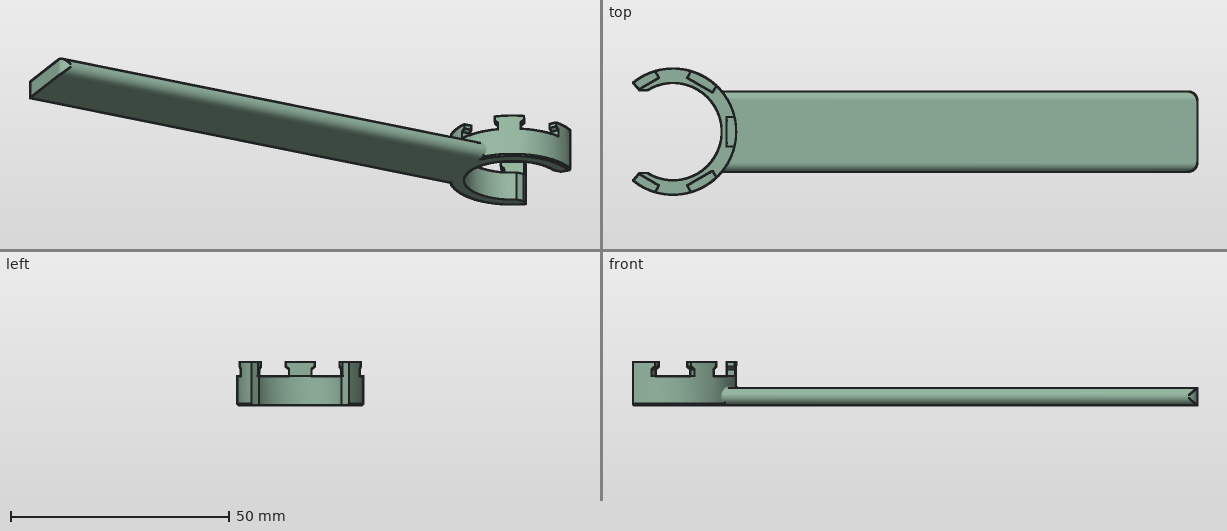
import cadquery as cq
import math

total_length = 129.3
total_height = 10.0

outer_radius = 14.5
inner_radius = 11.1
ring_height = 6.7
bottom_chamfer = 0.4
tip_reach = 9.2
mouth_half_width = 9.5
tip_bevel_length = 1.5
tip_outer_y = math.sqrt(outer_radius**2 - tip_reach**2)

tooth_angles = (-120, -60, 0, 60, 120)
tooth_inner_distance = 12.3
head_width = 6.7
stem_width = 5.2
head_lip_height = 1.0
head_taper_height = 0.6

handle_width = 18.5
handle_thickness = 4.0
handle_end_x = total_length - tip_reach
corner_radius = 2.3
joint_fillet = 0.4
overlap = 1.3


def make_ring():
    ring = cq.Workplane("XY").circle(outer_radius).extrude(total_height)
    return ring.faces("<Z").edges().chamfer(bottom_chamfer)


def make_handle():
    blank = (
        cq.Workplane("YZ", origin=(0, 0, handle_thickness / 2))
        .slot2D(handle_width, handle_thickness)
        .extrude(handle_end_x)
    )
    plan = (
        cq.Workplane("XY")
        .rect(2 * handle_end_x, handle_width)
        .extrude(handle_thickness)
        .edges("|Z and >X")
        .fillet(corner_radius)
    )
    return blank.intersect(plan)


def make_tooth(angle):
    """T-shaped block with a flat inner face, reaching past the ring outside."""
    half_head = head_width / 2
    half_stem = stem_width / 2
    lip_z = total_height - head_lip_height
    stem_top_z = lip_z - head_taper_height
    root_z = ring_height - overlap
    profile = [
        (-half_stem, root_z),
        (half_stem, root_z),
        (half_stem, stem_top_z),
        (half_head, lip_z),
        (half_head, total_height),
        (-half_head, total_height),
        (-half_head, lip_z),
        (-half_stem, stem_top_z),
    ]
    block = (
        cq.Workplane("YZ", origin=(tooth_inner_distance, 0, 0))
        .polyline(profile)
        .close()
        .extrude(outer_radius)
    )
    return block.rotate((0, 0, 0), (0, 0, 1), angle)


def make_tooth_gaps():
    """Everything above the ring rim except the teeth."""
    gaps = (
        cq.Workplane("XY", origin=(0, 0, ring_height))
        .circle(outer_radius + overlap)
        .extrude(total_height)
    )
    for angle in tooth_angles:
        gaps = gaps.cut(make_tooth(angle))
    return gaps


def make_mouth():
    """Opening between the ring tips, with the tip ends beveled."""
    back_x = -outer_radius - overlap
    bevel_x = tip_bevel_length - tip_reach
    side_y = outer_radius + overlap
    return (
        cq.Workplane("XY")
        .moveTo(0, -mouth_half_width)
        .lineTo(bevel_x, -mouth_half_width)
        .lineTo(-tip_reach, -tip_outer_y)
        .lineTo(-tip_reach, -side_y)
        .lineTo(back_x, -side_y)
        .lineTo(back_x, side_y)
        .lineTo(-tip_reach, side_y)
        .lineTo(-tip_reach, tip_outer_y)
        .lineTo(bevel_x, mouth_half_width)
        .lineTo(0, mouth_half_width)
        .close()
        .extrude(total_height)
    )


joint_box = cq.selectors.BoxSelector(
    (0, -handle_width, bottom_chamfer),
    (outer_radius + overlap, handle_width, handle_thickness + joint_fillet),
)
result = make_ring().union(make_handle())
result = result.edges("not |Z").edges(joint_box).fillet(joint_fillet)

bore = cq.Workplane("XY").circle(inner_radius).extrude(total_height)
result = result.cut(bore).cut(make_mouth()).cut(make_tooth_gaps())